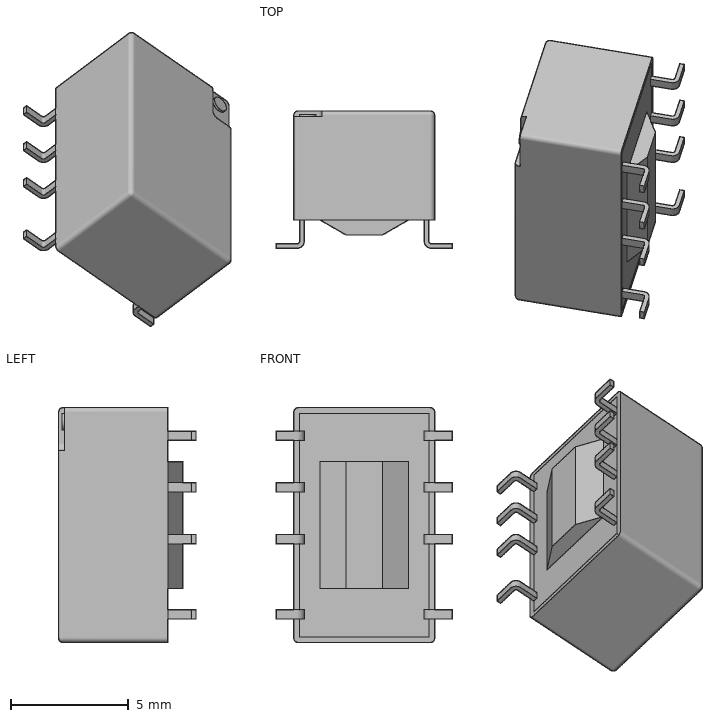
import cadquery as cq
import math


case_width = 6.0
case_length = 10.0
case_height = 4.65
case_edge_radius = 0.2
wall = 0.25
roof = 2 * wall

recess_width = 1.2
recess_length = 1.83
recess_depth = wall
recess_corner_radius = 0.3
mark_diameter = 0.7
mark_height = 0.1
mark_inset = 0.6

fit_width = case_width - 2 * wall
fit_length = case_length - 2 * wall
fit_depth = case_height - roof

block_width = 3.75
block_length = 5.4
block_height = 0.64
block_slope = 30.0
block_flat_width = block_width - 2 * block_height / math.tan(math.radians(block_slope))

lead_span = 7.5
lead_drop = 1.2
lead_thickness = 0.2
lead_width = 0.4
bend_inner_radius = 0.1
bend_outer_radius = bend_inner_radius + lead_thickness
lead_pitch = 2.2
end_lead_z = 3.8
lead_positions = [end_lead_z, end_lead_z - lead_pitch, end_lead_z - 2 * lead_pitch, -end_lead_z]


def block_on_underside(width, length, height):
    """Box centred on X and Z that rises from the mounting plane toward +Y."""
    return cq.Workplane("XY").box(width, height, length, centered=(True, False, True))


def make_case():
    shell = block_on_underside(case_width, case_length, case_height)
    shell = shell.edges("|Y").fillet(case_edge_radius)
    shell = shell.faces(">Y").edges().fillet(case_edge_radius)
    shell = shell.cut(block_on_underside(fit_width, fit_length, fit_depth))

    recess_floor = case_height - recess_depth
    recess = (
        cq.Workplane("XY")
        .box(recess_width, recess_depth, recess_length, centered=False)
        .translate((-case_width / 2, recess_floor, case_length / 2 - recess_length))
        .edges("|Y and >X and <Z")
        .fillet(recess_corner_radius)
    )
    mark_center = cq.Vector(mark_inset - case_width / 2, recess_floor, case_length / 2 - mark_inset)
    mark = cq.Workplane(
        cq.Solid.makeCylinder(mark_diameter / 2, mark_height, mark_center, cq.Vector(0, 1, 0))
    )
    return shell.cut(recess).union(mark)


def make_base():
    plug = block_on_underside(fit_width, fit_length, fit_depth)
    block = (
        cq.Workplane("XY")
        .polyline([
            (-block_width / 2, 0),
            (block_width / 2, 0),
            (block_flat_width / 2, -block_height),
            (-block_flat_width / 2, -block_height),
        ])
        .close()
        .extrude(block_length / 2, both=True)
    )
    return plug.union(block)


def make_lead(side, z):
    """Lead at height z whose foot points toward -X (side = -1) or +X (side = 1)."""
    tip = side * lead_span / 2
    outer_face = side * fit_width / 2
    inner_face = outer_face - side * lead_thickness
    foot_top = lead_thickness - lead_drop
    bend_x = outer_face + side * bend_inner_radius
    bend_y = foot_top + bend_inner_radius
    diagonal = math.sqrt(0.5)

    def bend_middle(radius):
        return bend_x - side * radius * diagonal, bend_y - radius * diagonal

    return (
        cq.Workplane("XY", origin=(0, 0, z))
        .moveTo(outer_face, 0)
        .lineTo(outer_face, bend_y)
        .threePointArc(bend_middle(bend_inner_radius), (bend_x, foot_top))
        .lineTo(tip, foot_top)
        .lineTo(tip, -lead_drop)
        .lineTo(bend_x, -lead_drop)
        .threePointArc(bend_middle(bend_outer_radius), (inner_face, bend_y))
        .lineTo(inner_face, 0)
        .close()
        .extrude(lead_width / 2, both=True)
    )


case = make_case()
base = make_base()
leads = [make_lead(side, z) for side in (-1, 1) for z in lead_positions]

result = cq.Compound.makeCompound([case.val(), base.val(), *[lead.val() for lead in leads]])